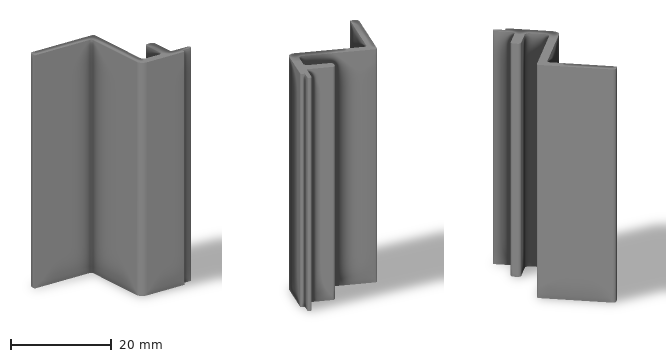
import cadquery as cq

WIDTH = 18.0
DEPTH = 27.5
LENGTH = 50.0

FRONT_LEG_WALL = 1.74
WALL = 1.8
WEB_BACK = 15.95
WEB_FRONT = WEB_BACK - WALL
BACK_LEG_INNER = WIDTH - WALL

RIB_TIP = 10.3
RIB_BACK = 22.95
RIB_THICKNESS = 2.1
RIB_FRONT = RIB_BACK - RIB_THICKNESS

TAB_THICKNESS = WALL / 2
TAB_OUTER = BACK_LEG_INNER + TAB_THICKNESS
TAB_LENGTH = 2.4
SHOULDER = DEPTH - TAB_LENGTH

SHOULDER_RADIUS = 0.3
TAB_TIP_RADIUS = 0.44
WEB_CORNER_RADIUS = 0.45
RIB_TIP_RADIUS = 0.65
RIB_ROOT_RADIUS = 0.4
LEG_TIP_RADIUS = 0.75
CHANNEL_RADIUS = 0.9
OUTER_BEND_RADIUS = 1.5

CORNERS = [
    (0, 0, LEG_TIP_RADIUS),
    (FRONT_LEG_WALL, 0, 0),
    (FRONT_LEG_WALL, WEB_FRONT, WEB_CORNER_RADIUS),
    (WIDTH, WEB_FRONT, OUTER_BEND_RADIUS),
    (WIDTH, SHOULDER, SHOULDER_RADIUS),
    (TAB_OUTER, SHOULDER, 0),
    (TAB_OUTER, DEPTH, TAB_TIP_RADIUS),
    (BACK_LEG_INNER, DEPTH, TAB_TIP_RADIUS),
    (BACK_LEG_INNER, RIB_BACK, RIB_ROOT_RADIUS),
    (RIB_TIP, RIB_BACK, RIB_TIP_RADIUS),
    (RIB_TIP, RIB_FRONT, RIB_TIP_RADIUS),
    (BACK_LEG_INNER, RIB_FRONT, CHANNEL_RADIUS),
    (BACK_LEG_INNER, WEB_BACK, CHANNEL_RADIUS),
    (0, WEB_BACK, WEB_CORNER_RADIUS),
]


def extrude_profile(corners):
    """Extrude the sharp-cornered outline along Z."""
    points = [(x, y) for x, y, _ in corners]
    return cq.Workplane("XY").polyline(points).close().extrude(LENGTH)


def round_corner(body, x, y, radius):
    """Fillet the full-length edge that stands at (x, y)."""
    edge_middle = (x, y, LENGTH / 2)
    return body.edges(cq.NearestToPointSelector(edge_middle)).fillet(radius)


result = extrude_profile(CORNERS)
for corner_x, corner_y, corner_radius in CORNERS:
    if corner_radius > 0:
        result = round_corner(result, corner_x, corner_y, corner_radius)